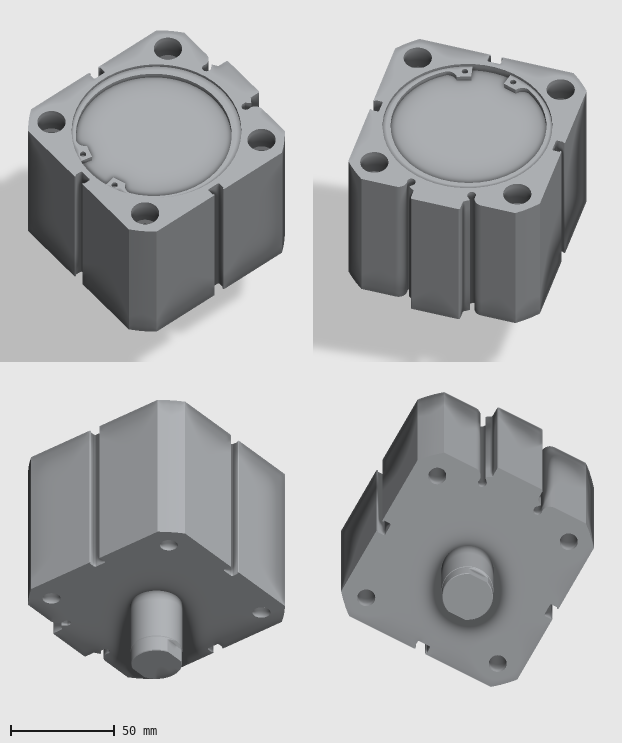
import cadquery as cq
import math

block_side = 96.5
block_height = 77.6
corner_diameter = 123.9
overall_width_y = 102.0
overall_height = 112.5
half_side = block_side / 2

rail_width = 24.9
rail_corner_radius = 0.9
rail_top = overall_width_y - half_side
half_rail = rail_width / 2
tooth_tip_x = 15.3
tooth_tip_y = 46.4
groove_width = 4.0
groove_inner_x = 13.2
groove_depth = 7.3
shoulder_radius = 4.4
shoulder_inner_x = 17.1

slot_throat = 5.4
slot_width = 6.8
slot_depth = 4.6
slot_lip = 0.8
slot_corner_radius = 0.8
slot_mouth_chamfer = 0.3

bolt_spacing = 72.0
bolt_hole_diameter = 8.7
bolt_counterbore_diameter = 13.6
bolt_counterbore_depth = 13.5

bore_diameter = 81.9
bore_radius = bore_diameter / 2
ring_recess = 1.7
ring_thickness = 2.7
cover_thickness = 11.2
ring_top = block_height - ring_recess
cover_top = ring_top - ring_thickness
cover_bottom = cover_top - cover_thickness

ring_opening_radius = 37.6
ring_opening_offset = 1.7
lug_root_x = 20.6
lug_neck = (18.0, -33.3)
lug_tip = (14.8, -31.0)
lug_inner_corner = (8.2, -33.3)
lug_end_x = 9.6
plier_hole_x = 12.2
plier_hole_y = -35.7
plier_hole_diameter = 3.0

rod_diameter = 25.0
rod_radius = rod_diameter / 2
rod_end = block_height - overall_height
tip_length = 8.4
tip_step = 0.2
tip_step_height = 0.3
tip_chamfer = 0.3
flat_width = 22.0
flat_length = 7.0


def block_outline():
    """Plan outline of the housing block, drawn once around with its rail and grooves on +Y."""
    groove_radius = groove_width / 2
    groove_x = groove_inner_x + groove_radius
    groove_bottom = half_side - groove_depth
    groove_centre_y = groove_bottom + groove_radius
    neck_y = groove_centre_y + math.sqrt(groove_radius**2 - (shoulder_inner_x - groove_x) ** 2)
    tooth_root_y = tooth_tip_y - (tooth_tip_x - groove_inner_x)
    shoulder_x = shoulder_inner_x + shoulder_radius
    shoulder_y = half_side - shoulder_radius
    shoulder_bulge = shoulder_radius * math.sqrt(0.5)
    shoulder_mid = (shoulder_x - shoulder_bulge, shoulder_y + shoulder_bulge)
    return (
        cq.Workplane("XY")
        .moveTo(-half_side, -half_side)
        .lineTo(half_side, -half_side)
        .lineTo(half_side, half_side)
        .lineTo(shoulder_x, half_side)
        .threePointArc(shoulder_mid, (shoulder_inner_x, shoulder_y))
        .lineTo(shoulder_inner_x, neck_y)
        .threePointArc((groove_x, groove_bottom), (groove_inner_x, groove_centre_y))
        .lineTo(groove_inner_x, tooth_root_y)
        .lineTo(tooth_tip_x, tooth_tip_y)
        .lineTo(half_rail, half_side)
        .lineTo(half_rail, rail_top)
        .lineTo(-half_rail, rail_top)
        .lineTo(-half_rail, half_side)
        .lineTo(-tooth_tip_x, tooth_tip_y)
        .lineTo(-groove_inner_x, tooth_root_y)
        .lineTo(-groove_inner_x, groove_centre_y)
        .threePointArc((-groove_x, groove_bottom), (-shoulder_inner_x, neck_y))
        .lineTo(-shoulder_inner_x, shoulder_y)
        .threePointArc((-shoulder_mid[0], shoulder_mid[1]), (-shoulder_x, half_side))
        .lineTo(-half_side, half_side)
        .close()
    )


def make_slot():
    """T-slot cutter for the -Y side, with a chamfered mouth."""
    throat = cq.Workplane("XY").box(slot_throat, slot_depth, block_height, centered=(True, False, False))
    channel = (
        cq.Workplane("XY")
        .box(slot_width, slot_depth - slot_lip, block_height, centered=(True, False, False))
        .edges("|Z and >Y")
        .fillet(slot_corner_radius)
        .translate((0, slot_lip, 0))
    )
    mouth_half = slot_throat / 2 + slot_mouth_chamfer
    mouth = (
        cq.Workplane("XY")
        .moveTo(-mouth_half, 0)
        .lineTo(mouth_half, 0)
        .lineTo(slot_throat / 2, slot_mouth_chamfer)
        .lineTo(-slot_throat / 2, slot_mouth_chamfer)
        .close()
        .extrude(block_height)
    )
    return throat.union(channel).union(mouth).translate((0, -half_side, 0))


def make_housing():
    block = block_outline().extrude(block_height)
    block = block.edges("|Z and >Y").fillet(rail_corner_radius)
    turned_envelope = cq.Workplane("XY").circle(corner_diameter / 2).extrude(block_height)
    block = block.intersect(turned_envelope)
    for angle in (-90, 0, 90):
        block = block.cut(make_slot().rotate((0, 0, 0), (0, 0, 1), angle))
    block = (
        block.faces(">Z")
        .workplane(origin=(0, 0, block_height))
        .rect(bolt_spacing, bolt_spacing, forConstruction=True)
        .vertices()
        .cboreHole(bolt_hole_diameter, bolt_counterbore_diameter, bolt_counterbore_depth)
    )
    bore_depth = block_height - cover_bottom
    bore = cq.Workplane("XY").workplane(offset=cover_bottom).circle(bore_radius).extrude(bore_depth)
    rod_hole = cq.Workplane("XY").circle(rod_radius).extrude(cover_bottom)
    return block.cut(bore).cut(rod_hole)


def make_cover():
    """Plain disc closing the upper end, under the retaining ring."""
    return cq.Workplane("XY").workplane(offset=cover_bottom).circle(bore_radius).extrude(cover_thickness)


def make_retaining_ring():
    """Open ring whose ends widen into lugs on the -Y side."""
    root_y = -ring_opening_offset - math.sqrt(ring_opening_radius**2 - lug_root_x**2)
    opening_top = ring_opening_radius - ring_opening_offset
    end_y = -math.sqrt(bore_radius**2 - lug_end_x**2)
    ring = (
        cq.Workplane("XY")
        .workplane(offset=cover_top)
        .moveTo(lug_end_x, end_y)
        .threePointArc((0, bore_radius), (-lug_end_x, end_y))
        .lineTo(-lug_inner_corner[0], lug_inner_corner[1])
        .lineTo(-lug_tip[0], lug_tip[1])
        .threePointArc((-lug_neck[0], lug_neck[1]), (-lug_root_x, root_y))
        .threePointArc((0, opening_top), (lug_root_x, root_y))
        .threePointArc(lug_neck, lug_tip)
        .lineTo(*lug_inner_corner)
        .close()
        .extrude(ring_thickness)
    )
    plier_holes = (
        cq.Workplane("XY")
        .workplane(offset=cover_top)
        .pushPoints([(-plier_hole_x, plier_hole_y), (plier_hole_x, plier_hole_y)])
        .circle(plier_hole_diameter / 2)
        .extrude(ring_thickness)
    )
    return ring.cut(plier_holes)


def make_rod():
    """Rod running from its free end up to the cover, with a slightly reduced tip and two flats."""
    tip_radius = rod_radius - tip_step
    tip_top = rod_end + tip_length
    rod = (
        cq.Workplane("XZ")
        .moveTo(0, rod_end)
        .lineTo(tip_radius - tip_chamfer, rod_end)
        .lineTo(tip_radius, rod_end + tip_chamfer)
        .lineTo(tip_radius, tip_top - tip_step_height)
        .lineTo(rod_radius, tip_top)
        .lineTo(rod_radius, cover_bottom)
        .lineTo(0, cover_bottom)
        .close()
        .revolve(360, (0, 0, 0), (0, 1, 0))
    )
    flat_top = rod_end + flat_length
    half_flat = flat_width / 2
    slope = rod_diameter - half_flat
    for side in (-1, 1):
        flat = (
            cq.Workplane("YZ")
            .moveTo(side * half_flat, rod_end)
            .lineTo(side * half_flat, flat_top)
            .lineTo(side * rod_diameter, flat_top + slope)
            .lineTo(side * rod_diameter, rod_end)
            .close()
            .extrude(rod_radius, both=True)
        )
        rod = rod.cut(flat)
    return rod


housing = make_housing()
cover = make_cover()
retaining_ring = make_retaining_ring()
rod = make_rod()

bodies = [housing, cover, retaining_ring, rod]
result = cq.Compound.makeCompound([body.solids().val() for body in bodies])